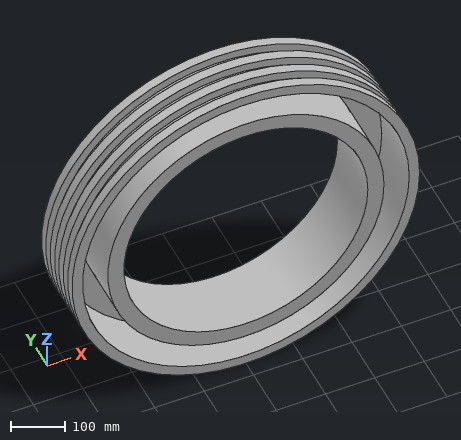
import cadquery as cq

outer_diameter = 705.0
width = 135.0
bore_diameter = 494.0
hub_diameter = 560.0
rim_inner_diameter = 662.0

groove_diameter = 670.0
groove_count = 3
band_width = width / (2 * groove_count + 1)

web_thickness = 14.0


def ring(outer, inner, thickness, center_y=0.0):
    """Ring around the Y axis, centred at center_y."""
    return (
        cq.Workplane("XZ", origin=(0, center_y + thickness / 2, 0))
        .circle(outer / 2)
        .circle(inner / 2)
        .extrude(thickness)
    )


hub = ring(hub_diameter, bore_diameter, width)
web_center_y = (width - web_thickness) / 2
web = ring(rim_inner_diameter, hub_diameter, web_thickness, web_center_y)
rim = ring(outer_diameter, rim_inner_diameter, width)

for index in range(groove_count):
    groove_y = 2 * band_width * (index - (groove_count - 1) / 2)
    rim = rim.cut(ring(outer_diameter, groove_diameter, band_width, groove_y))

result = hub.union(web).union(rim)